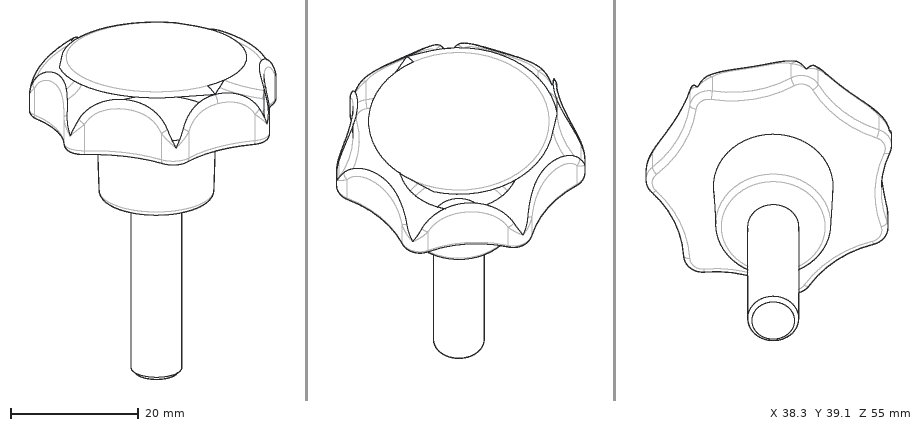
import cadquery as cq
import math


LOBE_COUNT = 7
HEAD_RADIUS = 20.0
VALLEY_RADIUS = 17.0
LOBE_TIP_RADIUS = 3.0
HEAD_HEIGHT = 12.0
CROWN_RADIUS = 66.55
CROWN_RIM_RADIUS = 14.2
HEAD_BOTTOM_FILLET = 1.0
SCALLOP_FILLET = 1.5

HUB_HEIGHT = 13.0
HUB_TOP_RADIUS = 9.4
HUB_BOTTOM_RADIUS = 9.0
HUB_FILLET = 0.9

STUD_RADIUS = 4.0
STUD_LENGTH = 30.05
STUD_CHAMFER = 0.65

HEAD_TOP = HUB_HEIGHT + HEAD_HEIGHT
LOBE_HALF_PITCH = math.pi / LOBE_COUNT


def polar(radius, angle):
    """Planar point at a distance and angle (radians) from the origin."""
    return (radius * math.cos(angle), radius * math.sin(angle))


def make_star():
    """Prism of round lobes joined by tangent scallops, with one lobe pointing along -X."""
    lobe_distance = HEAD_RADIUS - LOBE_TIP_RADIUS
    lobe_x, lobe_y = polar(lobe_distance, LOBE_HALF_PITCH)

    reach = VALLEY_RADIUS - LOBE_TIP_RADIUS
    scallop_distance = (lobe_distance**2 - reach**2) / (2 * (lobe_x - reach))
    flank_angle = math.atan2(lobe_y, scallop_distance - lobe_x)
    tangent_x = lobe_x + LOBE_TIP_RADIUS * math.cos(flank_angle)
    tangent_y = lobe_y - LOBE_TIP_RADIUS * math.sin(flank_angle)
    tangent_radius = math.hypot(tangent_x, tangent_y)
    tangent_angle = math.atan2(tangent_y, tangent_x)

    outline = cq.Workplane("XY", origin=(0, 0, HUB_HEIGHT))
    outline = outline.moveTo(*polar(tangent_radius, -tangent_angle))
    for index in range(LOBE_COUNT):
        valley = 2 * LOBE_HALF_PITCH * index
        apex = valley + LOBE_HALF_PITCH
        next_valley = apex + LOBE_HALF_PITCH
        scallop_end = polar(tangent_radius, valley + tangent_angle)
        lobe_end = polar(tangent_radius, next_valley - tangent_angle)
        outline = outline.threePointArc(polar(VALLEY_RADIUS, valley), scallop_end)
        outline = outline.threePointArc(polar(HEAD_RADIUS, apex), lobe_end)
    return outline.close().extrude(HEAD_HEIGHT)


def make_dome():
    """Round blank: spherical crown, tangent shoulder arc and a vertical wall."""
    rim_slope = math.asin(CROWN_RIM_RADIUS / CROWN_RADIUS)
    rim_z = HEAD_TOP - CROWN_RADIUS * (1 - math.cos(rim_slope))
    shoulder_radius = (HEAD_RADIUS - CROWN_RIM_RADIUS) / (1 - math.sin(rim_slope))
    shoulder_x = HEAD_RADIUS - shoulder_radius
    shoulder_z = rim_z - shoulder_radius * math.cos(rim_slope)

    half_slope = rim_slope / 2
    crown_mid = (CROWN_RADIUS * math.sin(half_slope), HEAD_TOP - CROWN_RADIUS * (1 - math.cos(half_slope)))
    mid_x, mid_z = polar(shoulder_radius, (math.pi / 2 - rim_slope) / 2)
    shoulder_mid = (shoulder_x + mid_x, shoulder_z + mid_z)
    return (
        cq.Workplane("XZ")
        .moveTo(0, HUB_HEIGHT)
        .lineTo(0, HEAD_TOP)
        .threePointArc(crown_mid, (CROWN_RIM_RADIUS, rim_z))
        .threePointArc(shoulder_mid, (HEAD_RADIUS, shoulder_z))
        .lineTo(HEAD_RADIUS, HUB_HEIGHT)
        .close()
        .revolve(360, (0, 0, 0), (0, 1, 0))
    )


def make_head():
    """Scalloped dome with its scallop and bottom edges rounded."""
    head = make_dome().intersect(make_star())
    head = head.edges("not(%LINE or %CIRCLE)").fillet(SCALLOP_FILLET)
    return head.faces("<Z").edges().fillet(HEAD_BOTTOM_FILLET)


def make_hub():
    """Tapered hub with a rounded lower edge."""
    hub = (
        cq.Workplane("XZ")
        .polyline([
            (0, 0),
            (HUB_BOTTOM_RADIUS, 0),
            (HUB_TOP_RADIUS, HUB_HEIGHT),
            (0, HUB_HEIGHT),
        ])
        .close()
        .revolve(360, (0, 0, 0), (0, 1, 0))
    )
    return hub.faces("<Z").edges().fillet(HUB_FILLET)


def make_knob():
    """Head and hub in one body."""
    return make_head().union(make_hub())


def make_stud():
    """Plain round stud with a chamfered end."""
    stud = cq.Workplane("XY").circle(STUD_RADIUS).extrude(-STUD_LENGTH)
    return stud.faces("<Z").edges().chamfer(STUD_CHAMFER)


knob = make_knob()
stud = make_stud()

result = cq.Compound.makeCompound([knob.solids().val(), stud.val()])